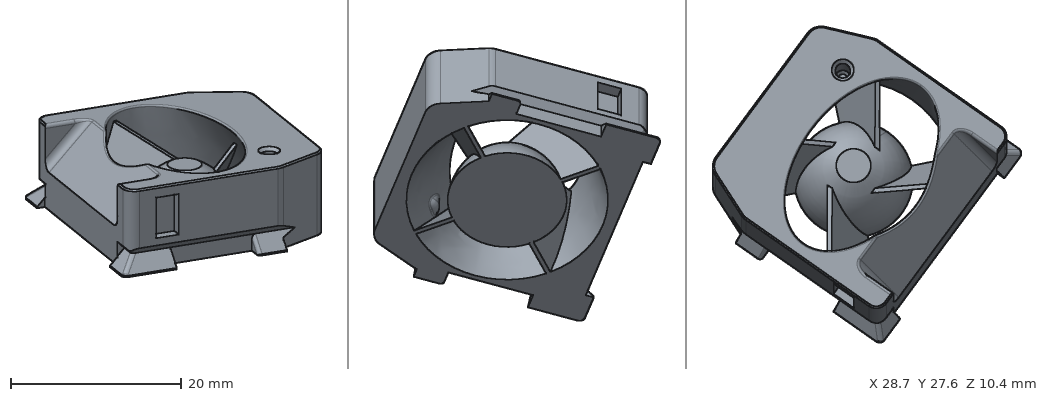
import cadquery as cq
import math

height = 10.4
half_width = 13.35
front_y = -13.3
back_y = 13.3
front_corner_radius = 1.5
back_corner_radius = 2.0
back_half_width = 10.55
side_end_y = 6.4
rim_chamfer = 0.2

groove_top_z = 3.0
groove_bottom_z = 2.1
groove_depth = groove_top_z - groove_bottom_z
groove_corner_radius = front_corner_radius - groove_depth
front_groove_inner_x = 10.37
waist_half_width = half_width - groove_depth
waist_front_y = front_y + groove_depth
foot_lip = 0.2
foot_flare = groove_bottom_z - foot_lip
foot_half_width = waist_half_width + foot_flare
foot_front_y = waist_front_y - foot_flare
foot_edge_radius = 0.7
front_foot_inner_x = 10.46
front_foot_end_y = -7.43
rear_foot_start_y = 3.08
rear_foot_end_y = 6.75
rear_foot_edge_radius = 0.45

duct_top_half_x = 11.7
duct_top_half_y = 7.16
duct_top_center_y = -1.2
duct_bottom_radius = 11.85
duct_rim_radius = 0.2

hub_radius = 7.0
hub_height = 7.0
hub_flat_radius = 2.04
hub_bulge = 1.05

blade_count = 4
blade_thickness = 0.55
blade_top_start = (-1.2, -3.1)
blade_top_angle = -54.5
blade_top_start_z = 5.8
blade_top_rise = 0.38
blade_top_length = 11.0
blade_root_overlap = 1.0
blade_bottom_angle = -42.7
blade_bottom_inner_radius = 5.5
blade_bottom_outer_radius = 12.6

scoop_half_width = 10.38
scoop_front_z = 4.75
scoop_edge_radius = 1.0
scoop_rim_radius = 0.43
blade_scoop_gap = 0.4

hole_x = 7.98
hole_y = 7.3
hole_diameter = 1.75
hole_depth = 4.2
hole_tip_diameter = 1.0
countersink_diameter = 2.6
boss_radius = 1.5
boss_blend_radius = 0.25
boss_top_z = 9.0
boss_emerging_z = 6.2
boss_bottom_z = 4.6
boss_edge_radius = 0.8

pocket_y = (-9.65, -6.72)
pocket_z = (3.93, 9.03)
pocket_depth = 1.3

margin = 5.0


def block(x_range, y_range, z_range):
    """Box given by its two limits along each axis."""
    sizes = [limits[1] - limits[0] for limits in (x_range, y_range, z_range)]
    corner = (x_range[0], y_range[0], z_range[0])
    return cq.Workplane("XY").box(*sizes, centered=False).translate(corner)


def both_sides(shape):
    """Shape together with its mirror image across the middle plane."""
    return shape.union(shape.mirror("YZ"))


def front_half():
    """Selects what lies on the front side of the fan axis."""
    reach = half_width + margin
    return cq.selectors.BoxSelector((-reach, -reach, -margin), (reach, 0, height + margin))


def back_half():
    """Selects what lies on the back side of the fan axis."""
    reach = half_width + margin
    return cq.selectors.BoxSelector((-reach, 0, -margin), (reach, reach, height + margin))


def flared_core(z_low, z_high, low_offset, high_offset):
    """Block, open-ended towards the back, that flares between two outsets from the waist."""
    def section(z, offset):
        half_x = waist_half_width + offset
        front = waist_front_y - offset
        length = back_y + margin - front
        return (
            cq.Workplane("XY", origin=(0, front + length / 2, z))
            .rect(2 * half_x, length)
            .wires()
            .val()
        )

    wires = [section(z_low, low_offset), section(z_high, high_offset)]
    return cq.Workplane(obj=cq.Solid.makeLoft(wires, True))


def make_body():
    outline = [
        (-half_width, front_y),
        (half_width, front_y),
        (half_width, side_end_y),
        (back_half_width, back_y),
        (-back_half_width, back_y),
        (-half_width, side_end_y),
    ]
    body = cq.Workplane("XY").polyline(outline).close().extrude(height)
    body = body.edges("|Z and <Y").fillet(front_corner_radius)
    body = body.edges(back_half()).edges("|Z").fillet(back_corner_radius)
    return body.faces(">Z").edges().chamfer(rim_chamfer)


def make_foot_flare():
    """Flare below the groove, with the lip at its foot."""
    flare = flared_core(foot_lip, groove_bottom_z, foot_flare, 0)
    lip = block(
        (-foot_half_width, foot_half_width), (foot_front_y, back_y + margin), (0, foot_lip)
    )
    flare = flare.union(lip)
    return flare.edges(front_half()).edges("not(|X or |Y)").fillet(foot_edge_radius)


def cut_groove(body, flare):
    """V groove: an upper taper above the flare, open past the slanted back corners."""
    upper = flared_core(groove_bottom_z, groove_top_z, 0, groove_depth)
    upper = upper.edges(front_half()).edges("not(|X or |Y)").fillet(groove_corner_radius)
    reach = half_width + margin
    ring = block((-reach, reach), (front_y - margin, back_y), (foot_lip, groove_top_z))
    front_middle = block(
        (-front_groove_inner_x, front_groove_inner_x), (front_y - margin, 0), (0, groove_top_z)
    )
    body = body.cut(ring.cut(upper).cut(flare).cut(front_middle))
    side_recess = block(
        (waist_half_width, reach),
        (front_y - margin, rear_foot_start_y + 2 * rear_foot_edge_radius),
        (0, groove_bottom_z),
    )
    corner_recess = block(
        (front_foot_inner_x, reach), (front_y - margin, waist_front_y), (0, groove_bottom_z)
    )
    return body.cut(both_sides(side_recess.union(corner_recess)))


def make_feet(flare):
    front_box = block(
        (front_foot_inner_x, foot_half_width), (foot_front_y, front_foot_end_y), (0, groove_bottom_z)
    )
    rear_box = block(
        (front_foot_inner_x, foot_half_width), (rear_foot_start_y, rear_foot_end_y), (0, groove_bottom_z)
    )
    rear_foot = flare.intersect(rear_box)
    rear_foot = rear_foot.faces("<Y").edges("not(|X or <X)").fillet(rear_foot_edge_radius)
    return both_sides(flare.intersect(front_box).union(rear_foot))


def make_duct():
    return (
        cq.Workplane("XY")
        .circle(duct_bottom_radius)
        .workplane(offset=height)
        .center(0, duct_top_center_y)
        .ellipse(duct_top_half_x, duct_top_half_y)
        .loft()
    )


def make_hub():
    slope_length = math.hypot(hub_radius - hub_flat_radius, hub_height)
    dome_middle = (
        (hub_radius + hub_flat_radius) / 2 + hub_bulge * hub_height / slope_length,
        hub_height / 2 + hub_bulge * (hub_radius - hub_flat_radius) / slope_length,
    )
    profile = (
        cq.Workplane("XZ")
        .lineTo(hub_radius, 0)
        .threePointArc(dome_middle, (hub_flat_radius, hub_height))
        .lineTo(0, hub_height)
        .close()
    )
    return profile.revolve(360, (0, 0, 0), (0, 1, 0))


def make_blade():
    def strip(start, angle, first, last, start_z, rise):
        """Wire round a straight strip of blade thickness between two distances along its line."""
        along = (math.cos(math.radians(angle)), math.sin(math.radians(angle)))
        half = blade_thickness / 2
        corners = []
        for distance, side in ((first, -half), (last, -half), (last, half), (first, half)):
            corners.append(cq.Vector(
                start[0] + distance * along[0] - side * along[1],
                start[1] + distance * along[1] + side * along[0],
                start_z + rise * distance,
            ))
        return cq.Wire.makePolygon(corners, close=True)

    bottom = strip(
        (0, 0), blade_bottom_angle, blade_bottom_inner_radius, blade_bottom_outer_radius, 0, 0
    )
    top = strip(
        blade_top_start, blade_top_angle, -blade_root_overlap, blade_top_length,
        blade_top_start_z, blade_top_rise,
    )
    return cq.Workplane(obj=cq.Solid.makeLoft([bottom, top], True))


def make_boss():
    boss = cq.Workplane("XY", origin=(hole_x, hole_y, boss_bottom_z)).circle(boss_radius)
    boss = boss.extrude(boss_top_z - boss_bottom_z)
    return boss.faces("<Z").edges().fillet(boss_edge_radius)


def make_fan():
    """Hub and blades; the blade tips reach into the duct wall but stay below the ramp."""
    fan = make_hub()
    blade = make_blade()
    for index in range(blade_count):
        fan = fan.union(blade.rotate((0, 0, 0), (0, 0, 1), index * 360 / blade_count))
    return fan.cut(make_scoop().translate((0, 0, -blade_scoop_gap)))


def make_screw_hole():
    radius = hole_diameter / 2
    sink_radius = countersink_diameter / 2
    tip_radius = hole_tip_diameter / 2
    bottom_z = height - hole_depth
    profile = [
        (0, bottom_z),
        (tip_radius, bottom_z),
        (radius, bottom_z + radius - tip_radius),
        (radius, height - sink_radius + radius),
        (sink_radius, height),
        (0, height),
    ]
    hole = cq.Workplane("XZ").polyline(profile).close().revolve(360, (0, 0, 0), (0, 1, 0))
    return hole.translate((hole_x, hole_y, 0))


def make_scoop():
    """45 degree ramp rising towards the back, rounded along its lower side edges."""
    profile = [
        (front_y - margin, scoop_front_z - margin),
        (height + margin - scoop_front_z + front_y, height + margin),
        (front_y - margin, height + margin),
    ]
    scoop = cq.Workplane("YZ").polyline(profile).close().extrude(scoop_half_width, both=True)
    return scoop.edges("not(|X or |Y or |Z)").fillet(scoop_edge_radius)


def make_pockets():
    pocket = block((half_width - pocket_depth, half_width + margin), pocket_y, pocket_z)
    return both_sides(pocket)


def cut_scoop(body):
    body = body.cut(make_scoop())
    rim = body.edges(front_half()).edges(cq.selectors.BoxSelector(
        (-scoop_half_width, front_y, height - rim_chamfer / 4),
        (scoop_half_width, 0, height + rim_chamfer / 4),
    ))
    return rim.fillet(scoop_rim_radius)


def cut_duct(body):
    """Duct with a rounded upper rim."""
    body = body.cut(make_duct())
    wall = body.faces(cq.selectors.NearestToPointSelector((0, 0, height / 2)))
    return wall.edges("not(<Z)").fillet(duct_rim_radius)


def add_boss(body):
    """Screw boss, blended into the duct wall where it emerges."""
    body = body.union(make_boss())
    toward_axis = 1 - boss_radius / math.hypot(hole_x, hole_y)
    emerging_point = (hole_x * toward_axis, hole_y * toward_axis, boss_emerging_z)
    wall_edge = body.edges(cq.selectors.NearestToPointSelector(emerging_point))
    return wall_edge.fillet(boss_blend_radius)


foot_flare_solid = make_foot_flare()
result = cut_groove(make_body(), foot_flare_solid)
result = result.union(make_feet(foot_flare_solid))
result = cut_scoop(result)
result = cut_duct(result)
result = add_boss(result)
result = result.union(make_fan())
result = result.cut(make_screw_hole()).cut(make_pockets())